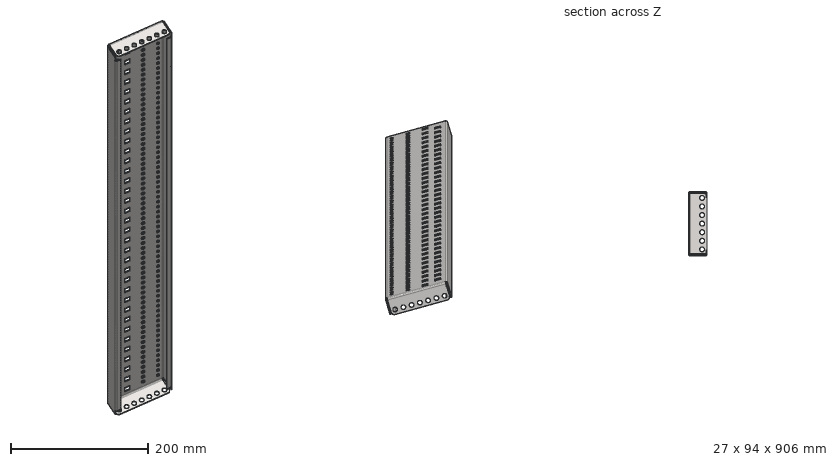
import cadquery as cq

depth = 27.0
width = 94.0
length = 906.0

sheet = 1.6
fold_radius = 2.9
corner_relief = 3.0
lip_width = 9.0
lip_setback = 11.0
flange_corner = 4.5

pitch = 12.5
coarse_pitch = 2 * pitch
fine_count = 71
coarse_count = 36
end_count = 7

small_hole = 4.5
medium_hole = 5.5
end_hole = 6.8
square_hole = 8.8

small_row_y = 37.0
medium_row_y = pitch
square_row_y = -14.0
offset_row_y = -33.0
end_row_x = 6.0

over_depth = 2 * depth
over_width = 2 * width
over_length = 2 * length


def block(x_size, y_size, z_size, x=0):
    """Block centred on the origin in Y and Z, and on the given X."""
    return cq.Workplane("XY").box(x_size, y_size, z_size).translate((x, 0, 0))


def lipped_channel():
    """C-section: web, side walls and inward lips, as long as the lips."""
    span = length - 2 * lip_setback
    outer = block(depth, width, span).edges("|Z").fillet(fold_radius)
    cavity = block(depth - 2 * sheet, width - 2 * sheet, over_length)
    cavity = cavity.edges("|Z").fillet(fold_radius - sheet)
    mouth = block(depth, width - 2 * lip_width, over_length, x=depth / 2)
    return outer.cut(cavity).cut(mouth)


def plain_channel_ends():
    """U-section at both ends of the C-section, where the side walls carry no lip."""
    wall_reach = depth - sheet
    outer = block(wall_reach, width, length - 2 * corner_relief, x=-sheet / 2)
    outer = outer.edges("|Z and <X").fillet(fold_radius)
    cavity = block(depth, width - 2 * sheet, over_length, x=sheet)
    cavity = cavity.edges("|Z and <X").fillet(fold_radius - sheet)
    lipped_stretch = block(over_depth, over_width, length - 2 * lip_setback)
    return outer.cut(cavity).cut(lipped_stretch)


def end_flanges():
    """Web and the two end flanges, folded about axes along Y."""
    outer = block(depth, width - 2 * corner_relief, length)
    outer = outer.edges("|Y and <X").fillet(fold_radius)
    outer = outer.edges("|Z and >X").fillet(flange_corner)
    cavity = block(depth, over_width, length - 2 * sheet, x=sheet)
    cavity = cavity.edges("|Y and <X").fillet(fold_radius - sheet)
    return outer.cut(cavity)


def row(count, spacing):
    """Positions of evenly spaced holes centred on zero."""
    return [(i - (count - 1) / 2) * spacing for i in range(count)]


def web_row(y, count, spacing):
    """Hole centres on the outside of the web for a row running along Z."""
    points = [(y, z) for z in row(count, spacing)]
    return cq.Workplane("YZ", origin=(-depth / 2, 0, 0)).pushPoints(points)


def round_row(y, diameter):
    return web_row(y, fine_count, pitch).circle(diameter / 2).extrude(sheet)


def square_row(y, count):
    return web_row(y, count, coarse_pitch).rect(square_hole, square_hole).extrude(sheet)


def end_row():
    """Round holes along Y through both end flanges."""
    points = [(end_row_x, y) for y in row(end_count, pitch)]
    return cq.Workplane("XY").pushPoints(points).circle(end_hole / 2).extrude(length, both=True)


channel = lipped_channel().union(plain_channel_ends()).union(end_flanges())

result = (
    channel
    .cut(round_row(small_row_y, small_hole))
    .cut(round_row(medium_row_y, medium_hole))
    .cut(square_row(square_row_y, coarse_count))
    .cut(square_row(offset_row_y, coarse_count - 1))
    .cut(end_row())
)